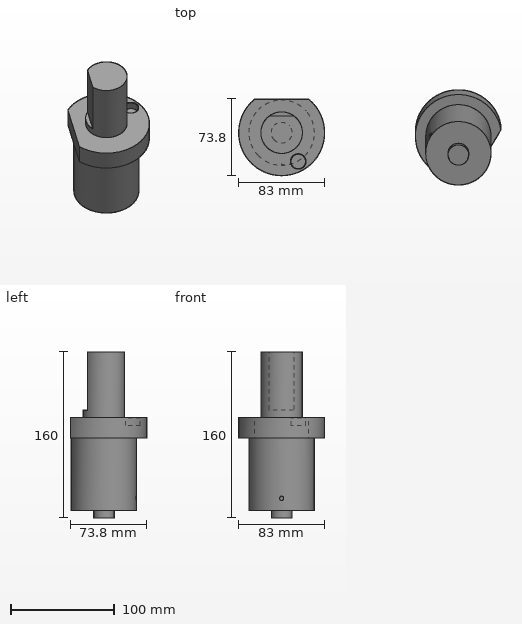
import cadquery as cq
import math

pilot_diameter = 20.0
pilot_length = 7.0
body_diameter = 63.0
body_length = 70.0
flange_diameter = 83.0
flange_thickness = 20.0
shank_diameter = 40.0
shank_length = 63.0

flange_flat_width = 52.0
shank_flat_width = 24.0
shank_flat_start = 7.0

flange_hole_diameter = 14.0
flange_hole_depth = 8.0
flange_hole_chamfer = 0.5
flange_hole_radius = 32.0
flange_hole_angle = -60.0

drill_diameter = 4.0
drill_depth = 0.5
drill_point_angle = 140.0
drill_height_on_body = 12.0

body_bottom = pilot_length
flange_bottom = body_bottom + body_length
flange_top = flange_bottom + flange_thickness
shank_top = flange_top + shank_length


def cylinder(diameter, bottom, length):
    return cq.Workplane("XY").workplane(offset=bottom).circle(diameter / 2).extrude(length)


def flat_cutter(diameter, flat_width, bottom, top):
    """Block that cuts a flat of the given width on the +Y side of a cylinder."""
    flat_distance = math.sqrt(diameter**2 - flat_width**2) / 2
    return (
        cq.Workplane("XY")
        .box(diameter, diameter, top - bottom, centered=(True, False, False))
        .translate((0, flat_distance, bottom))
    )


def flange():
    disc = cylinder(flange_diameter, flange_bottom, flange_thickness)
    return disc.cut(flat_cutter(flange_diameter, flange_flat_width, flange_bottom, flange_top))


def shank():
    rod = cylinder(shank_diameter, flange_top, shank_length)
    flat_bottom = flange_top + shank_flat_start
    return rod.cut(flat_cutter(shank_diameter, shank_flat_width, flat_bottom, shank_top))


def flange_hole():
    """Flat-bottomed hole with a chamfered mouth, as a revolved profile."""
    radius = flange_hole_diameter / 2
    angle = math.radians(flange_hole_angle)
    profile = (
        cq.Workplane("XZ")
        .moveTo(0, -flange_hole_depth)
        .lineTo(radius, -flange_hole_depth)
        .lineTo(radius, -flange_hole_chamfer)
        .lineTo(radius + flange_hole_chamfer, 0)
        .lineTo(0, 0)
        .close()
    )
    hole_x = flange_hole_radius * math.cos(angle)
    hole_y = flange_hole_radius * math.sin(angle)
    return profile.revolve(360, (0, 0, 0), (0, 1, 0)).translate((hole_x, hole_y, flange_top))


def drilled_hole():
    """Shallow radial hole with a conical drill point, revolved about the Y direction."""
    radius = drill_diameter / 2
    point_length = radius / math.tan(math.radians(drill_point_angle / 2))
    profile = (
        cq.Workplane("XY")
        .lineTo(radius, 0)
        .lineTo(radius, drill_depth)
        .lineTo(0, drill_depth + point_length)
        .close()
    )
    hole_z = body_bottom + drill_height_on_body
    return profile.revolve(360, (0, 0, 0), (0, 1, 0)).translate((0, -body_diameter / 2, hole_z))


result = (
    cylinder(pilot_diameter, 0, pilot_length)
    .union(cylinder(body_diameter, body_bottom, body_length))
    .union(flange())
    .union(shank())
    .cut(flange_hole())
    .cut(drilled_hole())
)